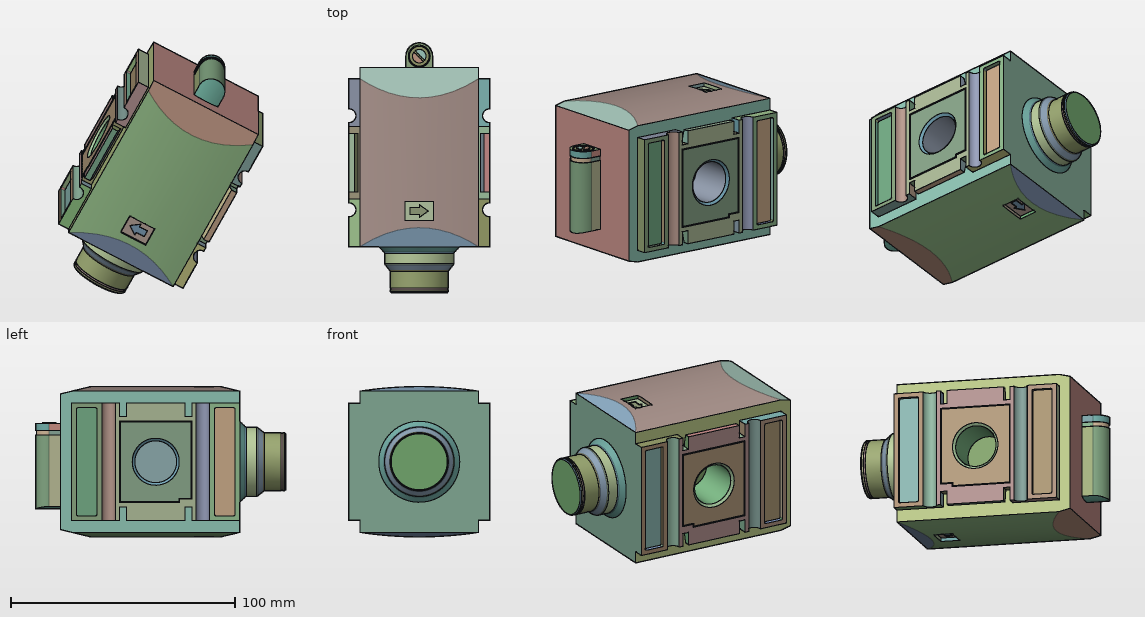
import cadquery as cq
import math


body_width = 53.0
body_length = 74.9
body_edge_height = 63.0
overall_height = 67.1
overall_width = 63.0
facet_angle = 13.6
cover_thickness = 5.0

plate_height = 52.2
groove_radius = 3.0
groove_y = 21.0
groove_inset = 0.2
pocket_width = 9.1
pocket_height = 48.2
pocket_y = 30.8
pocket_corner = 0.7
pocket_depth = 2.0

slot_depth = 6.0
slot_outer_y = 16.1
slot_inner_y = 13.0
tab_tip_thickness = 2.7
tab_root_thickness = 4.2

port_diameter = 18.6
port_rim_diameter = 21.0
port_chamfer_depth = 1.1
port_depth = 22.3
seam_height = 36.1
seam_width = 0.3
seam_depth = 0.3
seam_notch_length = 5.5
seam_notch_height = 1.5

nose_tip_y = -58.0
cone_base_diameter = 36.1
collar_diameter = 31.0
spigot_diameter = 26.0
tip_diameter = 25.0
collar_start_y = -39.8
collar_end_y = -45.5
spigot_start_y = -48.0
nose_blend = 0.6
tip_groove_depth = 0.2
tip_groove_width = 0.9
tip_lip_width = 1.3

lug_tip_y = 53.5
lug_radius = 6.0
lug_top_z = 17.1
lug_bottom_z = -21.0
lug_bottom_rise = 1.06
neck_bottom_z = 11.9
neck_top_z = 13.9
neck_depth = 0.3
ring_outer_diameter = 9.8
ring_inner_diameter = 8.8
ring_depth = 0.6
screw_diameter = 6.0
screw_rise = 0.3
screw_slot_width = 0.8
screw_slot_angle = -45

label_length = 12.6
label_width = 8.6
label_y = -21.5
label_depth = 1.7
arrow_length = 8.0
arrow_head_width = 5.7
arrow_shaft_width = 3.0
arrow_depth = 0.3

half_width = body_width / 2
half_length = body_length / 2
half_edge_height = body_edge_height / 2
half_plate = plate_height / 2
side_x = overall_width / 2
cover_y = half_length + cover_thickness
lug_y = lug_tip_y - lug_radius
facet_slope = math.tan(math.radians(facet_angle))
BOTH_SIDES = (-1, 1)


def box_between(x_range, y_range, z_range):
    """Box spanning the given (low, high) ranges."""
    sizes = [high - low for low, high in (x_range, y_range, z_range)]
    corner = (x_range[0], y_range[0], z_range[0])
    return cq.Workplane("XY").box(*sizes, centered=False).translate(corner)


def make_body():
    """Block with crowned top and bottom, sloped down at both ends, plus the rear cover."""
    crown = (
        cq.Workplane("XZ", origin=(0, cover_y, 0))
        .moveTo(-half_width, -half_edge_height)
        .threePointArc((0, -overall_height / 2), (half_width, -half_edge_height))
        .lineTo(half_width, half_edge_height)
        .threePointArc((0, overall_height / 2), (-half_width, half_edge_height))
        .close()
        .extrude(half_length + cover_y)
    )
    cover_half_height = half_edge_height - cover_thickness * facet_slope
    ridge_height = half_edge_height + half_length * facet_slope
    side_outline = (
        cq.Workplane("YZ")
        .polyline([
            (-half_length, -half_edge_height),
            (0, -ridge_height),
            (cover_y, -cover_half_height),
            (cover_y, cover_half_height),
            (0, ridge_height),
            (-half_length, half_edge_height),
        ])
        .close()
        .extrude(half_width, both=True)
    )
    return crown.intersect(side_outline)


def make_side_plate():
    """Mounting plate on the +X side with its grooves, pockets and hook tabs."""
    plate = box_between(
        (half_width, side_x), (-half_length, half_length), (-half_plate, half_plate)
    )
    grooves = (
        cq.Workplane("XY", origin=(0, 0, -half_plate))
        .pushPoints([(side_x - groove_inset, side * groove_y) for side in BOTH_SIDES])
        .circle(groove_radius)
        .extrude(plate_height)
    )
    pockets = (
        cq.Workplane("YZ", origin=(side_x - pocket_depth, 0, 0))
        .pushPoints([(side * pocket_y, 0) for side in BOTH_SIDES])
        .rect(pocket_width, pocket_height)
        .extrude(pocket_depth)
        .edges("|X")
        .fillet(pocket_corner)
    )
    plate = plate.cut(grooves).cut(pockets)
    for side in BOTH_SIDES:
        recess = box_between(
            (half_width, side_x),
            (-slot_outer_y, slot_outer_y),
            (half_plate - slot_depth, half_plate),
        )
        tab = (
            cq.Workplane("XZ", origin=(0, slot_inner_y, 0))
            .polyline([
                (side_x, half_plate),
                (side_x - tab_tip_thickness, half_plate),
                (side_x - tab_root_thickness, half_plate - slot_depth),
                (side_x, half_plate - slot_depth),
            ])
            .close()
            .extrude(2 * slot_inner_y)
        )
        channel = recess.cut(tab)
        if side < 0:
            channel = channel.mirror("XY")
        plate = plate.cut(channel)
    return plate


def make_seam():
    """Shallow seam around the port, stepped in at its lower front corner."""
    low = -seam_height / 2
    outline = (
        cq.Workplane("YZ", origin=(side_x - seam_depth, 0, 0))
        .polyline([
            (slot_outer_y, low),
            (slot_outer_y, -low),
            (-slot_outer_y, -low),
            (-slot_outer_y, low + seam_notch_height),
            (seam_notch_length - slot_outer_y, low + seam_notch_height),
            (seam_notch_length - slot_outer_y, low),
        ])
        .close()
    )
    outer = outline.extrude(seam_depth)
    inner = (
        outer.faces("<X")
        .wires()
        .toPending()
        .offset2D(-seam_width)
        .extrude(seam_depth, combine=False)
    )
    return outer.cut(inner)


def make_port():
    """Blind port with a chamfered mouth on the +X side."""
    rim = port_rim_diameter / 2
    bore = port_diameter / 2
    return (
        cq.Workplane("XY")
        .polyline([
            (side_x - port_depth, 0),
            (side_x - port_depth, bore),
            (side_x - port_chamfer_depth, bore),
            (side_x, rim),
            (side_x, 0),
        ])
        .close()
        .revolve(360, (0, 0, 0), (1, 0, 0))
    )


def make_nose():
    """Stepped round nose on the front face."""
    collar = collar_diameter / 2
    spigot = spigot_diameter / 2
    tip = tip_diameter / 2
    tip_groove = spigot - tip_groove_depth
    lip_y = nose_tip_y + tip_lip_width
    tip_groove_start_y = lip_y + tip_groove_width
    tip_chamfer = spigot - tip
    return (
        cq.Workplane("XY")
        .polyline([
            (0, -half_length),
            (cone_base_diameter / 2, -half_length),
            (collar + nose_blend / 2, collar_start_y),
            (collar, collar_start_y - nose_blend),
            (collar, collar_end_y + nose_blend),
            (collar - nose_blend / 2, collar_end_y),
            (spigot + nose_blend / 2, spigot_start_y),
            (spigot, spigot_start_y - nose_blend),
            (spigot, tip_groove_start_y),
            (tip_groove, tip_groove_start_y),
            (tip_groove, lip_y),
            (spigot, lip_y),
            (spigot, nose_tip_y + tip_chamfer),
            (tip, nose_tip_y),
            (0, nose_tip_y),
        ])
        .close()
        .revolve(360, (0, 0, 0), (0, 1, 0))
    )


def round_ended_column(radius, bottom_z, top_z):
    """Column behind the cover with a half-round rear end."""
    return (
        cq.Workplane("XY", origin=(0, 0, bottom_z))
        .moveTo(-radius, cover_y)
        .lineTo(-radius, lug_y)
        .threePointArc((0, lug_y + radius), (radius, lug_y))
        .lineTo(radius, cover_y)
        .close()
        .extrude(top_z - bottom_z)
    )


def make_lug():
    """Rear lug with a bowed underside, a neck groove and a slotted screw on top."""
    lug = round_ended_column(lug_radius, lug_bottom_z, lug_top_z)
    bowed_outline = (
        cq.Workplane("XZ", origin=(0, lug_tip_y, 0))
        .moveTo(-lug_radius, lug_bottom_z + lug_bottom_rise)
        .threePointArc((0, lug_bottom_z), (lug_radius, lug_bottom_z + lug_bottom_rise))
        .lineTo(lug_radius, lug_top_z)
        .lineTo(-lug_radius, lug_top_z)
        .close()
        .extrude(lug_tip_y - cover_y)
    )
    lug = lug.intersect(bowed_outline)

    neck_core = round_ended_column(lug_radius - neck_depth, neck_bottom_z, neck_top_z)
    neck = round_ended_column(lug_radius, neck_bottom_z, neck_top_z).cut(neck_core)
    ring = (
        cq.Workplane("XY", origin=(0, lug_y, lug_top_z - ring_depth))
        .circle(ring_outer_diameter / 2)
        .circle(ring_inner_diameter / 2)
        .extrude(ring_depth)
    )
    screw = (
        cq.Workplane("XY", origin=(0, lug_y, lug_top_z))
        .circle(screw_diameter / 2)
        .extrude(screw_rise)
    )
    screw_slot = (
        cq.Workplane("XY", origin=(0, lug_y, lug_top_z))
        .transformed(rotate=(0, 0, screw_slot_angle))
        .rect(screw_diameter, screw_slot_width)
        .extrude(screw_rise)
    )
    return lug.cut(neck).cut(ring).union(screw.cut(screw_slot))


def make_arrow_label():
    """Rectangular recess in the crown with an arrow sunk into its floor."""
    floor_z = overall_height / 2 - label_depth
    tail = -arrow_length / 2
    window = (
        cq.Workplane("XY", origin=(0, label_y, floor_z))
        .rect(label_length, label_width)
        .extrude(2 * label_depth)
    )
    arrow = (
        cq.Workplane("XY", origin=(0, label_y, floor_z - arrow_depth))
        .polyline([
            (tail, -arrow_shaft_width / 2),
            (0, -arrow_shaft_width / 2),
            (0, -arrow_head_width / 2),
            (-tail, 0),
            (0, arrow_head_width / 2),
            (0, arrow_shaft_width / 2),
            (tail, arrow_shaft_width / 2),
        ])
        .close()
        .extrude(arrow_depth)
    )
    return window.union(arrow)


result = make_body()

plate = make_side_plate().cut(make_seam())
port = make_port()
result = result.union(plate).union(plate.mirror("YZ"))
result = result.cut(port).cut(port.mirror("YZ"))

label = make_arrow_label()
result = result.cut(label).cut(label.mirror("XY"))

result = result.union(make_nose()).union(make_lug())